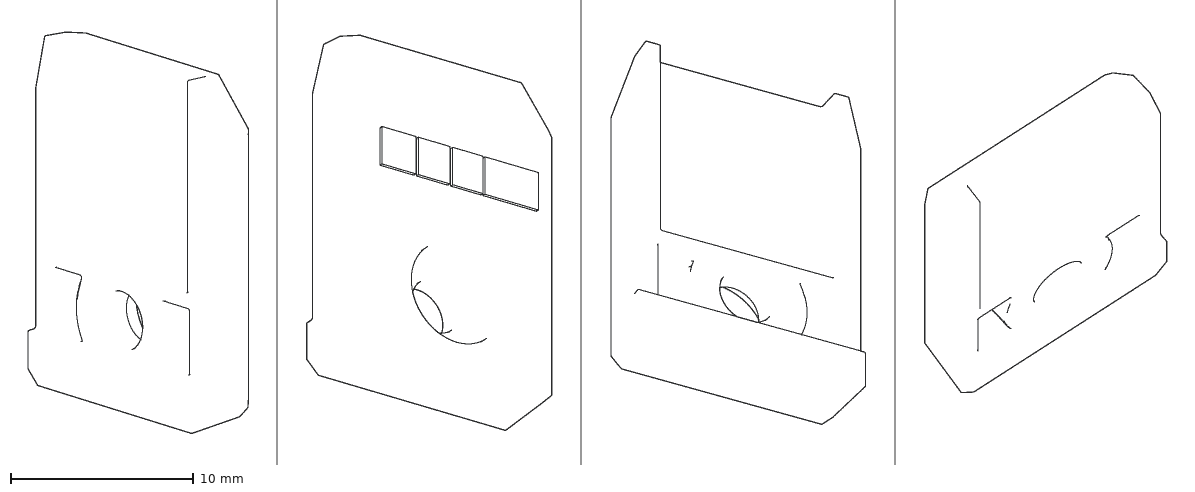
import cadquery as cq
import math

FOOT_WIDTH = 14.01
BLOCK_HEIGHT = 20.0
BACK_Y = 4.5
DRAFT = 3.0
FOOT_CORNER = 0.8
FOOT_CORNER_ANGLE = 45.0
TOP_SLOPE_HEIGHT = 3.2
TOP_SLOPE_WIDTH = 0.74
EDGE_RADIUS = 0.12

BEVEL_DEPTH = 0.75
BACK_HALF_WIDTH = 6.03
BACK_BOTTOM_Z = 1.02
BACK_TOP_Z = 16.53
TOP_BACK_Y = 2.87
TOP_BACK_HALF_WIDTH = 5.35

FRONT_Y = 0.54
LEDGE_Z = 3.03

RECESS_HALF_WIDTH = 5.3
RECESS_BOTTOM_Z = 7.75
RECESS_FLOOR_Y = 1.98

HOLE_Z = 4.99
HOLE_RADIUS = 1.68
COUNTERBORE_RADIUS = 3.0
COUNTERBORE_FLOOR_Y = 2.48
BOSS_RADIUS = 3.67
POCKET_HALF_SPAN = 5.47
POCKET_TOP_Z = 6.87
POCKET_FLOOR_Y = 2.08

PAD_SPANS = [(-5.25, -1.7), (-1.58, 0.44), (0.62, 2.71), (2.87, 5.13)]
PAD_BOTTOM_Z = 11.34
PAD_TOP_Z = 13.61
PAD_HEIGHT = 0.2

HALF_WIDTH = FOOT_WIDTH / 2
DRAFT_SLOPE = math.tan(math.radians(DRAFT))
MARGIN = 2.0


def facing_back(y):
    """Workplane at depth y that extrudes toward the back, with Z up."""
    return cq.Workplane(cq.Plane(origin=(0, y, 0), xDir=(-1, 0, 0), normal=(0, 1, 0)))


def drafted_block():
    """Outline of the front, narrowing toward the back, with cut-off foot corners."""
    right_side = [
        (HALF_WIDTH - FOOT_CORNER, 0),
        (HALF_WIDTH, FOOT_CORNER),
        (HALF_WIDTH, BLOCK_HEIGHT),
    ]
    left_side = [(-x, z) for x, z in reversed(right_side)]
    return facing_back(0).polyline(right_side + left_side).close().extrude(BACK_Y, taper=DRAFT)


def cut_outside(body, a, b, c):
    """Remove everything on the outer side of the plane through three points."""
    a, b, c = cq.Vector(*a), cq.Vector(*b), cq.Vector(*c)
    normal = (b - a).cross(c - a)
    outward = a - cq.Vector(0, 0, BLOCK_HEIGHT / 2)
    if normal.dot(outward) < 0:
        normal = normal * -1
    size = 4 * BLOCK_HEIGHT
    plane = cq.Plane(origin=a.toTuple(), normal=normal.toTuple())
    return body.cut(cq.Workplane(plane).rect(size, size).extrude(size))


def slope_upper_sides(body):
    """Lean both sides inward toward the top, from a line that follows the draft."""
    start_z = BLOCK_HEIGHT - TOP_SLOPE_HEIGHT
    inset = BACK_Y * DRAFT_SLOPE
    for side in (-1, 1):
        start_front = (side * HALF_WIDTH, 0, start_z)
        start_back = (side * (HALF_WIDTH - inset), BACK_Y, start_z - inset)
        top_front = (side * (HALF_WIDTH - TOP_SLOPE_WIDTH), 0, BLOCK_HEIGHT)
        body = cut_outside(body, start_front, start_back, top_front)
    return body


def bevel_back(body):
    """Cut the sloped faces that lead from the back face to the top, bottom and sides."""
    shoulder_y = BACK_Y - BEVEL_DEPTH
    inset = shoulder_y * DRAFT_SLOPE
    shoulder_x = HALF_WIDTH - inset
    corner_z = FOOT_CORNER + inset * math.tan(math.radians(FOOT_CORNER_ANGLE / 2))
    corner_x = HALF_WIDTH - corner_z
    top_back_z = BLOCK_HEIGHT - TOP_BACK_Y * DRAFT_SLOPE

    top_edge = [(0, BACK_Y, BACK_TOP_Z), (HALF_WIDTH, BACK_Y, BACK_TOP_Z)]
    bottom_edge = [(0, BACK_Y, BACK_BOTTOM_Z), (HALF_WIDTH, BACK_Y, BACK_BOTTOM_Z)]
    body = cut_outside(body, *top_edge, (0, TOP_BACK_Y, top_back_z))
    body = cut_outside(body, *bottom_edge, (0, shoulder_y, inset))
    for side in (-1, 1):
        back_bottom = (side * BACK_HALF_WIDTH, BACK_Y, BACK_BOTTOM_Z)
        back_top = (side * BACK_HALF_WIDTH, BACK_Y, BACK_TOP_Z)
        slope_top = (side * TOP_BACK_HALF_WIDTH, TOP_BACK_Y, top_back_z)
        shoulder_top = (side * shoulder_x, shoulder_y, BACK_TOP_Z)
        shoulder_bottom = (side * shoulder_x, shoulder_y, corner_z)
        foot_bottom = (side * corner_x, shoulder_y, inset)
        body = cut_outside(body, back_bottom, back_top, shoulder_top)
        body = cut_outside(body, back_top, slope_top, shoulder_top)
        body = cut_outside(body, back_bottom, shoulder_bottom, foot_bottom)
    return body


def above_foot():
    """Space in front of the front face; its lower side is the drafted ledge."""
    outline = [
        (-MARGIN, LEDGE_Z - MARGIN * DRAFT_SLOPE),
        (FRONT_Y, LEDGE_Z + FRONT_Y * DRAFT_SLOPE),
        (FRONT_Y, BLOCK_HEIGHT + MARGIN),
        (-MARGIN, BLOCK_HEIGHT + MARGIN),
    ]
    return cq.Workplane("YZ").polyline(outline).close().extrude(FOOT_WIDTH, both=True)


def recess():
    depth = RECESS_FLOOR_Y - FRONT_Y
    height = BLOCK_HEIGHT + MARGIN - RECESS_BOTTOM_Z
    return (
        facing_back(FRONT_Y)
        .center(0, RECESS_BOTTOM_Z + height / 2)
        .rect(2 * RECESS_HALF_WIDTH, height)
        .extrude(depth, taper=DRAFT)
    )


def side_pockets():
    """Both pockets; their lower wall continues the ledge of the foot."""
    depth = POCKET_FLOOR_Y - FRONT_Y
    bottom_z = LEDGE_Z + FRONT_Y * DRAFT_SLOPE
    height = POCKET_TOP_Z - bottom_z
    span = (
        facing_back(FRONT_Y)
        .center(0, bottom_z + height / 2)
        .rect(2 * POCKET_HALF_SPAN, height)
        .extrude(depth, taper=DRAFT)
    )
    boss = facing_back(FRONT_Y).center(0, HOLE_Z).circle(BOSS_RADIUS).extrude(depth, taper=-DRAFT)
    return span.cut(boss)


def screw_hole():
    """Drafted hole through the boss, widened from the back by a counterbore."""
    hole_end_radius = HOLE_RADIUS - (COUNTERBORE_FLOOR_Y - FRONT_Y) * DRAFT_SLOPE
    profile = [
        (FRONT_Y, 0),
        (FRONT_Y, -HOLE_RADIUS),
        (COUNTERBORE_FLOOR_Y, -hole_end_radius),
        (COUNTERBORE_FLOOR_Y, -COUNTERBORE_RADIUS),
        (BACK_Y, -COUNTERBORE_RADIUS),
        (BACK_Y, 0),
    ]
    hole = cq.Workplane("YZ").polyline(profile).close().revolve(360, (0, 0, 0), (1, 0, 0))
    return hole.translate((0, 0, HOLE_Z))


def back_pads():
    height = PAD_TOP_Z - PAD_BOTTOM_Z
    pads = cq.Workplane("XY")
    for left, right in PAD_SPANS:
        pad = cq.Workplane("XY").box(right - left, 2 * PAD_HEIGHT, height)
        pads = pads.add(pad.translate(((left + right) / 2, BACK_Y, PAD_BOTTOM_Z + height / 2)))
    return pads.combine()


body = bevel_back(slope_upper_sides(drafted_block())).cut(above_foot())
body = body.cut(recess()).cut(side_pockets()).cut(screw_hole())
body = body.edges().fillet(EDGE_RADIUS)
result = body.union(back_pads())